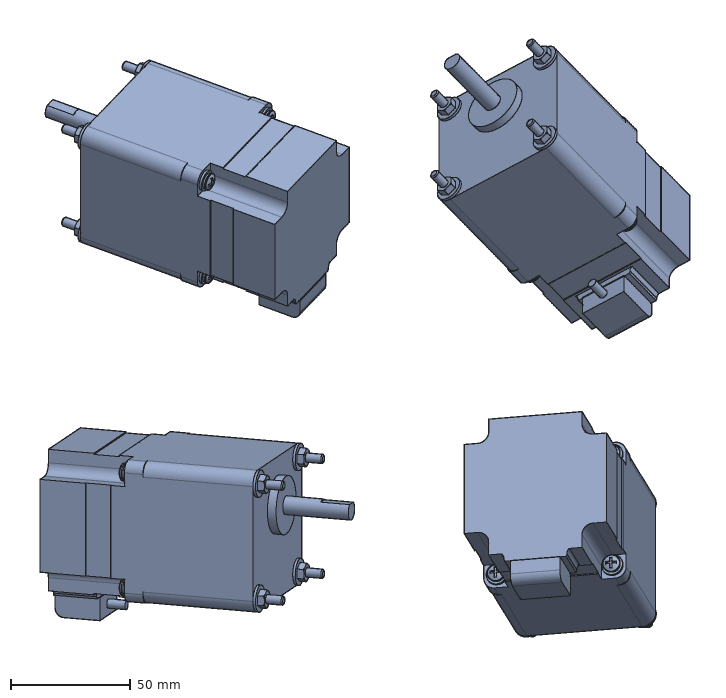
import cadquery as cq
import math


BOSS_FRONT = 29.0
HOUSING_FRONT = 32.9
FLANGE_FRONT = 81.8
NOTCH_FRONT = 90.0
MIDDLE_FRONT = 96.1
REAR_FRONT = 107.3
REAR_END = 127.6
OVERALL_LENGTH = 128.0

SIDE = 61.0
HALF_SIDE = SIDE / 2
MIDDLE_SIDE = 60.0
SCREW_INSET = 5.8
SCREW_OFFSET = HALF_SIDE - SCREW_INSET
HOUSING_CORNER_RADIUS = SCREW_INSET
FLANGE_CORNER_RADIUS = 4.6

NOTCH_FILLET = 4.7
NOTCH_SIZE = SCREW_INSET + NOTCH_FILLET

SHAFT_HEIGHT = 10.0
SHAFT_DIAMETER = 8.0
SHAFT_FLAT_LENGTH = 12.8
SHAFT_FLAT_DEPTH = 0.8
BOSS_DIAMETER = 25.0

COLLAR_FRONT = 108.4
COLLAR_HALF_WIDTH = 13.6
COLLAR_FLARE = 1.0
COLLAR_FLARE_DROP = 1.9
COLLAR_STRAIGHT_DROP = 2.4
COLLAR_DROP = 3.5
COLLAR_TAPER = 0.4
OUTLET_FRONT = 108.0
OUTLET_WIDTH = 21.2
OUTLET_DROP = 13.5
OUTLET_CORNER_RADIUS = 4.0
CABLE_FRONT = 100.0
CABLE_DIAMETER = 4.0
CABLE_ABOVE_BOTTOM = 5.0

SCREW_DIAMETER = 4.0
SCREW_TIP = 21.2
SCREW_TIP_CHAMFER = 0.5
FRONT_WASHER_DIAMETER = 2 * SCREW_INSET
FRONT_WASHER_THICKNESS = 1.2
NUT_ACROSS_FLATS = 7.0
NUT_THICKNESS = 3.1
NUT_CORNER_CHAMFER = 0.4
REAR_WASHER_DIAMETER = 9.0
REAR_WASHER_THICKNESS = 1.2
SPRING_WASHER_DIAMETER = 6.9
SPRING_WASHER_THICKNESS = 1.0
HEAD_DIAMETER = 7.4
HEAD_RIM = 0.6
HEAD_DOME_HEIGHT = 1.3
RECESS_SPAN = 4.6
RECESS_WIDTH = 1.0
RECESS_DEPTH = 1.3


def section_at(x):
    """Workplane across the motor axis: local x is +Y, local y is +Z, extruding toward +X."""
    return cq.Workplane("YZ", origin=(x, 0, 0))


def square_block(start, end, side):
    return section_at(start).rect(side, side).extrude(end - start)


def rod(start, end, diameter, y=0, z=0):
    return section_at(start).center(y, z).circle(diameter / 2).extrude(end - start)


def corner_notches():
    """Four square-cornered cutters, rounded on the edge nearest the motor axis."""
    cutters = []
    for side_y in (-1, 1):
        for side_z in (-1, 1):
            cutter = (
                section_at(NOTCH_FRONT)
                .center(side_y * HALF_SIDE, side_z * HALF_SIDE)
                .rect(2 * NOTCH_SIZE, 2 * NOTCH_SIZE)
                .extrude(OVERALL_LENGTH - NOTCH_FRONT)
                .edges("|X")
                .fillet(NOTCH_FILLET)
            )
            cutters.append(cutter)
    return cutters


def output_shaft():
    """Shaft with a flat on top of its free end."""
    shaft = rod(0, BOSS_FRONT, SHAFT_DIAMETER, z=SHAFT_HEIGHT)
    flat_level = SHAFT_HEIGHT + SHAFT_DIAMETER / 2 - SHAFT_FLAT_DEPTH
    flat = (
        cq.Workplane("XY", origin=(0, 0, flat_level))
        .rect(2 * SHAFT_FLAT_LENGTH, SHAFT_DIAMETER)
        .extrude(SHAFT_DIAMETER)
    )
    return shaft.cut(flat)


def outlet_collar():
    """Collar with a concave flare at the cover and a tapered lower edge."""
    flare_radius = (COLLAR_FLARE**2 + COLLAR_FLARE_DROP**2) / (2 * COLLAR_FLARE)
    sweep = math.asin(COLLAR_FLARE_DROP / flare_radius) / 2
    flare_mid_y = COLLAR_HALF_WIDTH + flare_radius * (1 - math.cos(sweep))
    flare_mid_drop = COLLAR_FLARE_DROP - flare_radius * math.sin(sweep)
    flare_y = COLLAR_HALF_WIDTH + COLLAR_FLARE
    tapered_y = COLLAR_HALF_WIDTH - COLLAR_TAPER
    return (
        cq.Workplane("YZ", origin=(COLLAR_FRONT, 0, -HALF_SIDE))
        .moveTo(flare_y, 0)
        .threePointArc((flare_mid_y, -flare_mid_drop), (COLLAR_HALF_WIDTH, -COLLAR_FLARE_DROP))
        .lineTo(COLLAR_HALF_WIDTH, -COLLAR_STRAIGHT_DROP)
        .lineTo(tapered_y, -COLLAR_DROP)
        .lineTo(-tapered_y, -COLLAR_DROP)
        .lineTo(-COLLAR_HALF_WIDTH, -COLLAR_STRAIGHT_DROP)
        .lineTo(-COLLAR_HALF_WIDTH, -COLLAR_FLARE_DROP)
        .threePointArc((-flare_mid_y, -flare_mid_drop), (-flare_y, 0))
        .close()
        .extrude(REAR_END - COLLAR_FRONT)
    )


def cable_outlet():
    """Outlet block with one rounded edge, and the cable leaving its front face."""
    bottom = -HALF_SIDE - OUTLET_DROP
    height = OUTLET_DROP - COLLAR_DROP
    block = (
        section_at(OUTLET_FRONT)
        .center(0, bottom + height / 2)
        .rect(OUTLET_WIDTH, height)
        .extrude(OVERALL_LENGTH - OUTLET_FRONT)
        .edges(">X and <Z")
        .fillet(OUTLET_CORNER_RADIUS)
    )
    cable = rod(CABLE_FRONT, OUTLET_FRONT, CABLE_DIAMETER, z=bottom + CABLE_ABOVE_BOTTOM)
    return block.union(cable)


def make_gearmotor():
    housing = square_block(HOUSING_FRONT, FLANGE_FRONT, SIDE).edges("|X").fillet(HOUSING_CORNER_RADIUS)
    flange = square_block(FLANGE_FRONT, MIDDLE_FRONT, SIDE).edges("|X").fillet(FLANGE_CORNER_RADIUS)
    middle = square_block(MIDDLE_FRONT, REAR_FRONT, MIDDLE_SIDE)
    rear_cover = square_block(REAR_FRONT, REAR_END, SIDE)
    boss = rod(BOSS_FRONT, HOUSING_FRONT, BOSS_DIAMETER, z=SHAFT_HEIGHT)

    gearmotor = housing.union(flange).union(middle).union(rear_cover)
    for cutter in corner_notches():
        gearmotor = gearmotor.cut(cutter)
    gearmotor = gearmotor.union(boss).union(output_shaft())
    gearmotor = gearmotor.union(outlet_collar()).union(cable_outlet())

    screw_holes = (
        section_at(HOUSING_FRONT)
        .rect(2 * SCREW_OFFSET, 2 * SCREW_OFFSET, forConstruction=True)
        .vertices()
        .circle(SCREW_DIAMETER / 2)
        .extrude(NOTCH_FRONT - HOUSING_FRONT)
    )
    return gearmotor.cut(screw_holes)


def make_nut(start):
    """Hexagon nut on the X axis, corners up and down, with its front corners chamfered."""
    across_corners = NUT_ACROSS_FLATS / math.cos(math.pi / 6)
    corners = [
        (
            across_corners / 2 * math.sin(index * math.pi / 3),
            across_corners / 2 * math.cos(index * math.pi / 3),
        )
        for index in range(6)
    ]
    hexagon = section_at(start).polyline(corners).close().extrude(NUT_THICKNESS)
    turned_blank = rod(start, start + NUT_THICKNESS, across_corners)
    turned_blank = turned_blank.faces("<X").chamfer(NUT_CORNER_CHAMFER)
    return hexagon.intersect(turned_blank)


def make_head(seat):
    """Screw head with a short straight rim and a cross-recessed spherical dome facing +X."""
    radius = HEAD_DIAMETER / 2
    rim_end = seat + HEAD_RIM
    dome_top = rim_end + HEAD_DOME_HEIGHT
    sphere_radius = (radius**2 + HEAD_DOME_HEIGHT**2) / (2 * HEAD_DOME_HEIGHT)
    half_sweep = math.asin(radius / sphere_radius) / 2
    dome_mid = (
        dome_top - sphere_radius * (1 - math.cos(half_sweep)),
        sphere_radius * math.sin(half_sweep),
    )
    head = (
        cq.Workplane("XY")
        .moveTo(seat, 0)
        .lineTo(seat, radius)
        .lineTo(rim_end, radius)
        .threePointArc(dome_mid, (dome_top, 0))
        .close()
        .revolve(360, (0, 0), (1, 0))
    )
    recess_floor = section_at(dome_top - RECESS_DEPTH)
    arm_along_y = recess_floor.rect(RECESS_SPAN, RECESS_WIDTH).extrude(RECESS_DEPTH)
    arm_along_z = recess_floor.rect(RECESS_WIDTH, RECESS_SPAN).extrude(RECESS_DEPTH)
    return head.cut(arm_along_y).cut(arm_along_z)


def make_screw():
    """Through screw on the X axis, with its nut, washers and head."""
    front_washer_face = HOUSING_FRONT - FRONT_WASHER_THICKNESS
    nut_face = front_washer_face - NUT_THICKNESS
    rear_washer_end = NOTCH_FRONT + REAR_WASHER_THICKNESS
    head_seat = rear_washer_end + SPRING_WASHER_THICKNESS

    shank = rod(SCREW_TIP, head_seat, SCREW_DIAMETER).faces("<X").chamfer(SCREW_TIP_CHAMFER)
    nut = make_nut(nut_face)
    front_washer = rod(front_washer_face, HOUSING_FRONT, FRONT_WASHER_DIAMETER)
    rear_washer = rod(NOTCH_FRONT, rear_washer_end, REAR_WASHER_DIAMETER)
    spring_washer = rod(rear_washer_end, head_seat, SPRING_WASHER_DIAMETER)
    head = make_head(head_seat)
    return shank.union(nut).union(front_washer).union(rear_washer).union(spring_washer).union(head)


gearmotor = make_gearmotor()

screw = make_screw()
screws = cq.Workplane()
for screw_y in (-SCREW_OFFSET, SCREW_OFFSET):
    for screw_z in (-SCREW_OFFSET, SCREW_OFFSET):
        screws = screws.add(screw.translate((0, screw_y, screw_z)))

result = cq.Compound.makeCompound([gearmotor.val(), *screws.vals()])